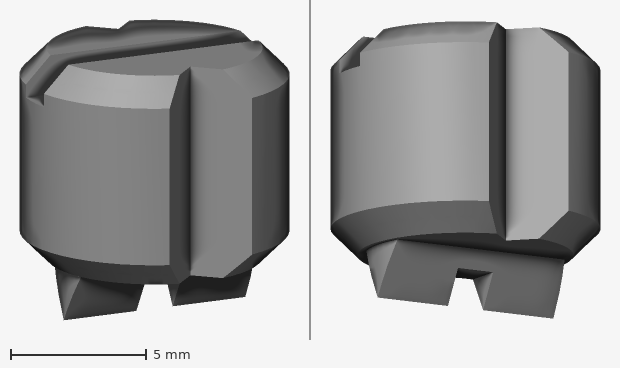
import cadquery as cq
import math

body_radius = 5.0
body_height = 8.0
edge_chamfer = 1.0

top_slot_width = 1.5
top_slot_depth = 1.5

groove_root_x = 3.0
groove_angle = 90.0

blade_height = 2.0
blade_angle = 60.0
blade_end_radius = 3.75
blade_notch_width = 1.5
blade_notch_depth = 1.3


def make_body():
    cylinder = cq.Workplane("XY").circle(body_radius).extrude(body_height)
    return cylinder.faces("|Z").edges().chamfer(edge_chamfer)


def make_top_slot():
    return (
        cq.Workplane("XY")
        .workplane(offset=body_height - top_slot_depth)
        .rect(top_slot_width, 2 * body_radius)
        .extrude(top_slot_depth)
    )


def make_side_groove(side):
    """V groove through the full height; side is +1 for +X and -1 for -X."""
    groove_depth = body_radius - groove_root_x
    half_mouth = groove_depth * math.tan(math.radians(groove_angle / 2))
    return (
        cq.Workplane("XY")
        .moveTo(side * groove_root_x, 0)
        .lineTo(side * body_radius, half_mouth)
        .lineTo(side * body_radius, -half_mouth)
        .close()
        .extrude(body_height)
    )


def make_blade():
    half_base = blade_height * math.tan(math.radians(blade_angle / 2))
    wedge = (
        cq.Workplane("XZ")
        .moveTo(-half_base, 0)
        .lineTo(half_base, 0)
        .lineTo(0, -blade_height)
        .close()
        .extrude(blade_end_radius, both=True)
    )
    round_limit = cq.Workplane("XY").circle(blade_end_radius).extrude(-blade_height)
    notch = (
        cq.Workplane("XY")
        .workplane(offset=-blade_height)
        .rect(2 * half_base, blade_notch_width)
        .extrude(blade_notch_depth)
    )
    return wedge.intersect(round_limit).cut(notch)


result = make_body().cut(make_top_slot())
for side in (1, -1):
    result = result.cut(make_side_groove(side))
result = result.union(make_blade())